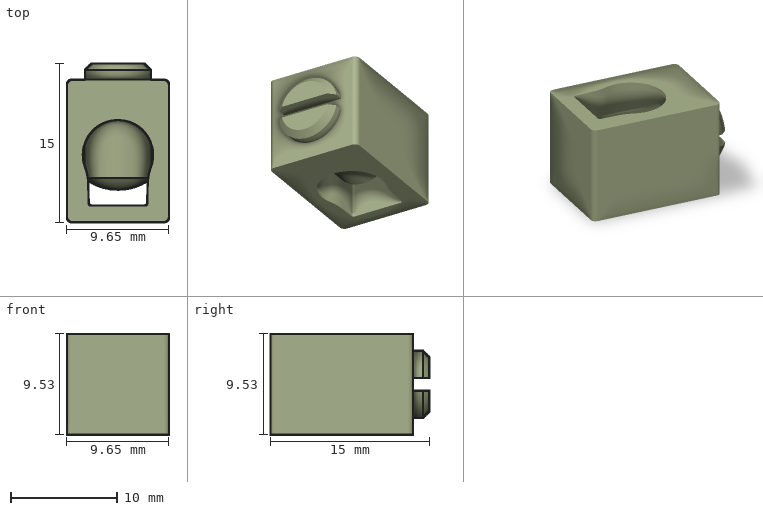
import cadquery as cq
import math

block_width = 9.65
block_height = 9.53
block_length = 13.46
corner_radius = 0.51

opening_radius = 3.3
opening_center_y = 6.34
opening_front_y = 1.6
opening_corner_radius = 0.21
blend_start_angle = 20.0
blend_radius = 5.15
flank_taper = 1.5

screw_radius = 6.35 / 2
screw_end_y = 14.99
screw_chamfer = 0.63
tip_edge_y = 4.2
tip_dome_height = 1.12
slot_width = 1.17
slot_depth = screw_end_y - block_length


def make_opening():
    """Round at the back, narrowing through concave blends to nearly straight flanks and a flat front."""
    angle = math.radians(blend_start_angle)
    taper = math.radians(flank_taper)
    middle_angle = (angle + taper) / 2
    blend_center_x = (opening_radius + blend_radius) * math.cos(angle)
    blend_center_y = opening_center_y - (opening_radius + blend_radius) * math.sin(angle)

    def blend_point(side, at_angle):
        x = blend_center_x - blend_radius * math.cos(at_angle)
        y = blend_center_y + blend_radius * math.sin(at_angle)
        return (side * x, y)

    flank_x, flank_y = blend_point(1, taper)
    front_half_width = flank_x - (flank_y - opening_front_y) * math.tan(taper)
    return (
        cq.Workplane("XY")
        .workplane(offset=-block_height / 2)
        .moveTo(*blend_point(1, angle))
        .threePointArc((0, opening_center_y + opening_radius), blend_point(-1, angle))
        .threePointArc(blend_point(-1, middle_angle), blend_point(-1, taper))
        .lineTo(-front_half_width, opening_front_y)
        .lineTo(front_half_width, opening_front_y)
        .lineTo(flank_x, flank_y)
        .threePointArc(blend_point(1, middle_angle), blend_point(1, angle))
        .close()
        .extrude(block_height)
        .faces("<Y")
        .edges("|Z")
        .fillet(opening_corner_radius)
    )


def make_screw_blank():
    """Turned shape of the screw: domed tip, plain shank and chamfered end."""
    dome_radius = (screw_radius**2 + tip_dome_height**2) / (2 * tip_dome_height)
    tip_y = tip_edge_y - tip_dome_height
    dome_mid_x = screw_radius / 2
    dome_mid_y = tip_y + dome_radius - math.sqrt(dome_radius**2 - dome_mid_x**2)
    return (
        cq.Workplane("XY")
        .moveTo(0, tip_y)
        .threePointArc((dome_mid_x, dome_mid_y), (screw_radius, tip_edge_y))
        .lineTo(screw_radius, screw_end_y - screw_chamfer)
        .lineTo(screw_radius - screw_chamfer, screw_end_y)
        .lineTo(0, screw_end_y)
        .close()
        .revolve(360, (0, 0, 0), (0, 1, 0))
    )


def make_housing(screw_blank):
    """Block with the wire opening and a bore that fits the screw."""
    block = (
        cq.Workplane("XY")
        .box(block_width, block_length, block_height, centered=(True, False, True))
        .edges("|Z")
        .fillet(corner_radius)
    )
    return block.cut(make_opening()).cut(screw_blank)


def make_screw(screw_blank):
    """Screw with a straight driver slot across its chamfered end."""
    slot = cq.Workplane("XY").box(2 * screw_radius, slot_depth, slot_width)
    return screw_blank.cut(slot.translate((0, screw_end_y - slot_depth / 2, 0)))


screw_blank = make_screw_blank()
housing = make_housing(screw_blank)
screw = make_screw(screw_blank)

result = cq.Compound.makeCompound([housing.val(), screw.val()])